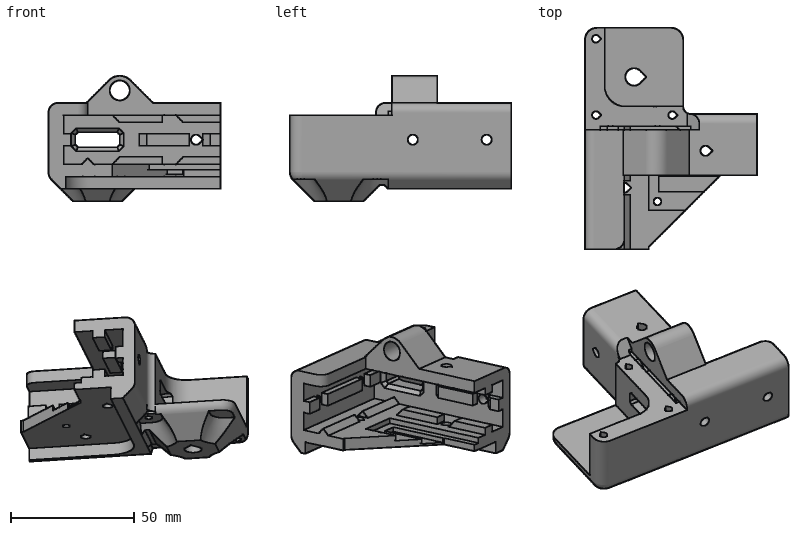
import cadquery as cq
import math

BAR = 20.0
LENGTH_X = 70.0
WALL_LEFT = 6.2
WALL_BACK = 5.0
FLOOR = 10.0
ROOF = 5.0
BAR_B_FRONT = 30.0
BAR_B_BACK = BAR_B_FRONT + BAR
BACK_FACE = BAR_B_BACK + WALL_BACK
ROOF_BOTTOM = FLOOR + BAR
ROOF_TOP = ROOF_BOTTOM + ROOF
BAR_A_CENTER_X = 16.0
FLOOR_A_RIGHT = 26.0
BAR_B_CENTER_Y = BAR_B_FRONT + BAR / 2
BAR_CENTER_Z = FLOOR + BAR / 2
ROOF_BACK = 48.5
ROOF_CORNER_R = 4.0
OUTER_TOP_R = 4.0
BEVEL = 5.0
BEVEL_R = 4.5

BEVEL_SETBACK = BEVEL_R * math.tan(math.pi / 8)
BEVEL_ROUND_Z = BEVEL - BEVEL_SETBACK * math.sqrt(0.5)

GUSSET_START_Y = 1.0
GUSSET_RUN = BAR_B_FRONT - GUSSET_START_Y

RELIEF_DEPTH = 5.0
RELIEF_LEFT = 7.0
RELIEF_BACK = 45.0
RELIEF_R = 10.0

SLOPE_START_X = 41.5
SLIT_RIGHT = 43.0
SLIT_TOP = 31.6

HUB_X = 29.0
HUB_Z = 40.0
HUB_R = 6.0
HUB_HOLE = 8.0

KEY_WIDTH = 5.0
KEY_HEIGHT = 3.0
KEY_GAP = 2.8
RIDGE_HALF = 2.5
BOLT = 4.0
BOLT_FLOOR_A_Y = 25.0
BOLT_LEFT_YS = (10.0, 40.0)
BOLT_BACK_X = 60.0
BOLT_ROOF_X = 49.0
FLOOR_KEY_START = 26.0
BACK_KEY_START = 37.0

POCKET_FRONT = 15.9
POCKET_BACK = 32.8
POCKET_FLOOR = 7.8
DEEP_POCKET_LEFT = 30.0
DEEP_POCKET_FRONT = 23.4
DEEP_POCKET_BACK = 29.6
DEEP_POCKET_FLOOR = 5.9
POCKET_HOLE = 3.0
POCKET_HOLE_X = 29.5
POCKET_HOLE_Y = 19.4

MOTOR_SIZE = 40.0
MOTOR_HALF = MOTOR_SIZE / 2
MOTOR_X = MOTOR_HALF
MOTOR_Y = 70.0
MOTOR_FRONT = MOTOR_Y - MOTOR_HALF
MOTOR_BACK = MOTOR_Y + MOTOR_HALF
MOTOR_CORNER_R = 5.0
FOOT_Z = -5.0
SCOOP_TOP_R = 5.6
SCOOP_FOOT_R = 12.0
SCOOP_TOP_Z = 4.0
SCREW_OFFSET = 15.5
SCREW = 3.0
SHAFT_HOLE = 7.0
RECESS_FLOOR = 8.0
RECESS_WALL = 8.0
RECESS_R = 8.5
DECK_FILLET = BAR_B_BACK + RECESS_WALL - BACK_FACE
BRIDGE_FRONT = 51.5
BRIDGE_BACK = 53.5
BRIDGE_BOTTOM = 1.6

WINDOW_WIDTH = 18.0
WINDOW_HEIGHT = 6.0
WINDOW_CORNER = 1.0
WINDOW_MOUTH_CORNER = 1.9
WINDOW_FLARE = 1.6
WINDOW_DEPTH = RECESS_WALL + RECESS_R


def box(x0, x1, y0, y1, z0, z1):
    return cq.Workplane("XY").box(x1 - x0, y1 - y0, z1 - z0, centered=False).translate((x0, y0, z0))


def teardrop(diameter, depth, plane):
    """Round hole with a 45 degree roof whose tip points along the local x axis."""
    r = diameter / 2
    tangent = r * math.sqrt(0.5)
    return (
        cq.Workplane(plane)
        .moveTo(tangent, tangent)
        .threePointArc((-r, 0), (tangent, -tangent))
        .lineTo(2 * tangent, 0)
        .close()
        .extrude(depth)
    )


def upright_teardrop(diameter, x, y, z0, z1):
    return teardrop(diameter, z1 - z0, "XY").translate((x, y, z0))


def half_outline(plane, width, bottom, top, top_r=0.0):
    """Upright outline whose outer face is at local x = 0.

    The outer lower edge has a 45 degree bevel ending at height BEVEL, rounded into the face.
    """
    arc_middle_x = BEVEL_R * (1 - math.cos(math.pi / 8))
    arc_middle_z = BEVEL + BEVEL_SETBACK - BEVEL_R * math.sin(math.pi / 8)
    outline = (
        cq.Workplane(plane)
        .moveTo(width, bottom)
        .lineTo(BEVEL - bottom, bottom)
        .lineTo(BEVEL - BEVEL_ROUND_Z, BEVEL_ROUND_Z)
        .threePointArc((arc_middle_x, arc_middle_z), (0, BEVEL + BEVEL_SETBACK))
    )
    if top_r:
        corner = top_r * (1 - math.sqrt(0.5))
        outline = outline.lineTo(0, top - top_r).threePointArc((corner, top - corner), (top_r, top))
    else:
        outline = outline.lineTo(0, top)
    return outline.lineTo(width, top).close()


def section_plane(origin, inward):
    """Plane with local x pointing inward from the outer face and local y pointing up."""
    direction = cq.Vector(*inward)
    return cq.Plane(origin=origin, xDir=direction, normal=direction.cross(cq.Vector(0, 0, 1)))


def clamp_shell():
    """L-shaped walls, floor, roof and gusset around the two bar channels."""
    outline = [
        (0, 0),
        (FLOOR_A_RIGHT, 0),
        (FLOOR_A_RIGHT, GUSSET_START_Y),
        (FLOOR_A_RIGHT + GUSSET_RUN, BAR_B_FRONT),
        (LENGTH_X, BAR_B_FRONT),
        (LENGTH_X, BACK_FACE),
        (0, BACK_FACE),
    ]
    shell = cq.Workplane("XY").polyline(outline).close().extrude(ROOF_TOP)
    left_plane = section_plane((0, BACK_FACE, 0), (1, 0, 0))
    shell = shell.intersect(half_outline(left_plane, LENGTH_X, 0, ROOF_TOP, OUTER_TOP_R).extrude(BACK_FACE))
    back_plane = section_plane((LENGTH_X, BACK_FACE, 0), (0, -1, 0))
    shell = shell.intersect(half_outline(back_plane, BACK_FACE, 0, ROOF_TOP, OUTER_TOP_R).extrude(LENGTH_X))

    shell = shell.cut(box(WALL_LEFT, LENGTH_X, 0, BAR_B_BACK, FLOOR, ROOF_BOTTOM))
    roof_opening = box(BAR_A_CENTER_X, LENGTH_X, 0, BAR_B_FRONT, ROOF_BOTTOM, ROOF_TOP)
    shell = shell.cut(roof_opening)
    corner_point = (BAR_A_CENTER_X, 0, ROOF_BOTTOM + ROOF / 2)
    shell = shell.edges(cq.selectors.NearestToPointSelector(corner_point)).fillet(ROOF_CORNER_R)

    opening_outline = [
        (0, ROOF_BOTTOM),
        (SLOPE_START_X, ROOF_BOTTOM),
        (SLOPE_START_X + ROOF, ROOF_TOP),
        (0, ROOF_TOP),
    ]
    deck_opening = (
        cq.Workplane("XZ", origin=(0, ROOF_BACK, 0))
        .polyline(opening_outline)
        .close()
        .extrude(ROOF_BACK - BACK_FACE)
    )
    shell = shell.cut(deck_opening)
    return shell.cut(box(WALL_LEFT, SLIT_RIGHT, ROOF_BACK, BAR_B_BACK, ROOF_BOTTOM, SLIT_TOP))


def underside_relief():
    relief = box(RELIEF_LEFT, LENGTH_X, 0, RELIEF_BACK, 0, RELIEF_DEPTH)
    return relief.edges("|Z and <X and >Y").fillet(RELIEF_R)


def pivot_hub():
    """Lug with 45 degree flanks tangent to its rounded top."""
    tangent = HUB_R * math.sqrt(0.5)
    foot_half = HUB_R * math.sqrt(2) + HUB_Z - ROOF_TOP
    width = ROOF_BACK - BAR_B_FRONT
    return (
        cq.Workplane("XZ", origin=(HUB_X, BAR_B_FRONT, 0))
        .moveTo(-foot_half, ROOF_TOP)
        .lineTo(-tangent, HUB_Z + tangent)
        .threePointArc((0, HUB_Z + HUB_R), (tangent, HUB_Z + tangent))
        .lineTo(foot_half, ROOF_TOP)
        .lineTo(foot_half, ROOF_BOTTOM)
        .lineTo(-foot_half, ROOF_BOTTOM)
        .close()
        .extrude(-width)
    )


def hub_hole():
    return cq.Workplane("XZ", origin=(HUB_X, 0, HUB_Z)).circle(HUB_HOLE / 2).extrude(-BACK_FACE)


def slot_key(start, end):
    """Key along X on a floor at z = 0, centered on y = 0, with a 45 degree left end."""
    return (
        cq.Workplane("XZ", origin=(0, KEY_WIDTH / 2, 0))
        .polyline([(start, 0), (start + KEY_HEIGHT, KEY_HEIGHT), (end, KEY_HEIGHT), (end, 0)])
        .close()
        .extrude(KEY_WIDTH)
    )


def bar_b_keys():
    """Split keys on the floor, roof and back wall, interrupted at the bolts."""
    keys = cq.Workplane("XY")
    placements = [
        (0, BAR_B_CENTER_Y, FLOOR, FLOOR_KEY_START, BOLT_ROOF_X),
        (180, BAR_B_CENTER_Y, ROOF_BOTTOM, FLOOR_KEY_START, BOLT_ROOF_X),
        (90, BAR_B_BACK, BAR_CENTER_Z, BACK_KEY_START, BOLT_BACK_X),
    ]
    for angle, y, z, start, bolt_x in placements:
        for key_start, key_end in ((start, bolt_x - KEY_GAP), (bolt_x + KEY_GAP, LENGTH_X)):
            key = slot_key(key_start, key_end).rotate((0, 0, 0), (1, 0, 0), angle)
            keys = keys.add(key.translate((0, y, z)))
    return keys.combine()


def bar_a_keys():
    """Wall key and floor ridge along Y, interrupted at the bolts."""
    key_bottom = BAR_CENTER_Z - KEY_WIDTH / 2
    key_top = key_bottom + KEY_WIDTH
    key_right = WALL_LEFT + KEY_HEIGHT
    wall_key = box(WALL_LEFT, key_right, 0, BAR_B_BACK, key_bottom, key_top)
    for y in BOLT_LEFT_YS:
        wall_key = wall_key.cut(box(WALL_LEFT, key_right, y - KEY_GAP, y + KEY_GAP, key_bottom, key_top))
    ridge = (
        cq.Workplane("XZ", origin=(BAR_A_CENTER_X, 0, FLOOR))
        .polyline([(-RIDGE_HALF, 0), (0, RIDGE_HALF), (RIDGE_HALF, 0)])
        .close()
        .extrude(-BAR_B_BACK)
    )
    gap = box(
        BAR_A_CENTER_X - RIDGE_HALF,
        BAR_A_CENTER_X + RIDGE_HALF,
        BOLT_FLOOR_A_Y - KEY_GAP,
        BOLT_FLOOR_A_Y + KEY_GAP,
        FLOOR,
        FLOOR + RIDGE_HALF,
    )
    return wall_key.union(ridge.cut(gap))


def gusset_pocket():
    shallow = box(FLOOR_A_RIGHT, LENGTH_X, POCKET_FRONT, POCKET_BACK, POCKET_FLOOR, FLOOR)
    deep = box(
        DEEP_POCKET_LEFT, LENGTH_X, DEEP_POCKET_FRONT, DEEP_POCKET_BACK, DEEP_POCKET_FLOOR, POCKET_FLOOR
    )
    hole = (
        cq.Workplane("XY")
        .center(POCKET_HOLE_X, POCKET_HOLE_Y)
        .circle(POCKET_HOLE / 2)
        .extrude(FLOOR)
    )
    return shallow.union(deep).union(hole)


def bolt_holes():
    holes = upright_teardrop(BOLT, BOLT_ROOF_X, BAR_B_CENTER_Y, 0, ROOF_TOP)
    holes = holes.union(upright_teardrop(BOLT, BAR_A_CENTER_X, BOLT_FLOOR_A_Y, 0, FLOOR))
    back = teardrop(BOLT, -2 * WALL_BACK, "XZ").translate((BOLT_BACK_X, BAR_B_BACK - WALL_BACK, BAR_CENTER_Z))
    holes = holes.union(back)
    for y in BOLT_LEFT_YS:
        left = cq.Workplane("YZ", origin=(0, y, BAR_CENTER_Z)).circle(BOLT / 2).extrude(BAR_A_CENTER_X)
        holes = holes.union(left)
    return holes


def left_section(z0, z1, y0, y1):
    """Slice of the beveled left side of the mount."""
    plane = section_plane((0, y1, 0), (1, 0, 0))
    section = half_outline(plane, MOTOR_SIZE, 0, ROOF_BOTTOM).extrude(y1 - y0)
    return section.intersect(box(0, MOTOR_SIZE, y0, y1, z0, z1))


def corner_post(x, y):
    """Rounded vertical corner with the bevel revolved around it."""
    plane = section_plane((x - MOTOR_CORNER_R, y, 0), (1, 0, 0))
    outline = half_outline(plane, MOTOR_CORNER_R, BRIDGE_BOTTOM, ROOF_BOTTOM)
    return outline.revolve(360, (MOTOR_CORNER_R, 0), (MOTOR_CORNER_R, 1))


def motor_block():
    """Square mount with rounded rear corners and a foot tapering at 45 degrees."""
    block = box(0, MOTOR_SIZE, MOTOR_FRONT, MOTOR_BACK, FOOT_Z, ROOF_BOTTOM)
    center = cq.Vector(MOTOR_X, MOTOR_Y, 0)
    for inward in ((1, 0, 0), (-1, 0, 0), (0, 1, 0), (0, -1, 0)):
        along = cq.Vector(*inward).cross(cq.Vector(0, 0, 1))
        corner = center - (cq.Vector(*inward) + along) * MOTOR_HALF
        plane = section_plane(corner, inward)
        block = block.intersect(half_outline(plane, MOTOR_SIZE, FOOT_Z, ROOF_BOTTOM).extrude(MOTOR_SIZE))

    post_y = MOTOR_BACK - MOTOR_CORNER_R
    for edge_x, post_x in ((0, MOTOR_CORNER_R), (MOTOR_SIZE, MOTOR_SIZE - MOTOR_CORNER_R)):
        left, right = sorted((edge_x, post_x))
        block = block.cut(box(left, right, post_y, MOTOR_BACK, FOOT_Z, ROOF_BOTTOM))
        block = block.union(corner_post(post_x, post_y))

    front = left_section(BEVEL_ROUND_Z, ROOF_BOTTOM, MOTOR_FRONT, MOTOR_FRONT + RECESS_WALL)
    bridge = left_section(BRIDGE_BOTTOM, BEVEL_ROUND_Z, BRIDGE_FRONT, BRIDGE_BACK)
    return block.union(front).union(bridge)


def scoop_wire(radius, z):
    """Square corner of the mount up to a rounded inner corner concentric with the screw."""
    reach = SCREW_OFFSET - MOTOR_HALF
    middle = radius * math.sqrt(0.5)
    return (
        cq.Workplane("XY", origin=(MOTOR_X - SCREW_OFFSET, MOTOR_Y - SCREW_OFFSET, z))
        .moveTo(reach, reach)
        .lineTo(radius, reach)
        .lineTo(radius, 0)
        .threePointArc((middle, middle), (0, radius))
        .lineTo(reach, radius)
        .close()
        .wires()
        .val()
    )


def screw_scoops():
    """Flared clearances that cut the four corners of the tapered foot."""
    wires = [scoop_wire(SCOOP_FOOT_R, FOOT_Z), scoop_wire(SCOOP_TOP_R, SCOOP_TOP_Z)]
    scoop = cq.Workplane(cq.Solid.makeLoft(wires, True))
    scoops = scoop
    for quarter in range(1, 4):
        axis_end = (MOTOR_X, MOTOR_Y, 1)
        scoops = scoops.union(scoop.rotate((MOTOR_X, MOTOR_Y, 0), axis_end, 90 * quarter))
    return scoops


def deck_fillet():
    """Concave corner between the mount side and the clamp back."""
    block = box(MOTOR_SIZE, MOTOR_SIZE + DECK_FILLET, BACK_FACE, BACK_FACE + DECK_FILLET, BEVEL, ROOF_BOTTOM)
    round_cut = (
        cq.Workplane("XY")
        .center(MOTOR_SIZE + DECK_FILLET, BACK_FACE + DECK_FILLET)
        .circle(DECK_FILLET)
        .extrude(ROOF_BOTTOM)
    )
    return block.cut(round_cut)


def motor_recess():
    """Open corner of the mount, leaving a wall on the left and one at the front."""
    recess = box(
        RECESS_WALL, LENGTH_X, MOTOR_FRONT + RECESS_WALL, MOTOR_BACK, RECESS_FLOOR, ROOF_BOTTOM
    )
    return recess.edges("|Z and <X and <Y").fillet(RECESS_R)


def motor_holes():
    holes = upright_teardrop(SHAFT_HOLE, MOTOR_X, MOTOR_Y, FOOT_Z, ROOF_BOTTOM)
    for side_x, side_y in ((-1, -1), (-1, 1), (1, -1)):
        x = MOTOR_X + side_x * SCREW_OFFSET
        y = MOTOR_Y + side_y * SCREW_OFFSET
        holes = holes.union(upright_teardrop(SCREW, x, y, FOOT_Z, ROOF_BOTTOM))
    return holes


def window_outline(width, height, corner, y):
    x = width / 2
    z = height / 2
    return (
        cq.Workplane("XZ", origin=(MOTOR_X, y, BAR_CENTER_Z))
        .polyline(
            [
                (x, z - corner),
                (x - corner, z),
                (corner - x, z),
                (-x, z - corner),
                (-x, corner - z),
                (corner - x, -z),
                (x - corner, -z),
                (x, corner - z),
            ]
        )
        .close()
    )


def window():
    """Opening with cut corners, flared at 45 degrees toward bar A."""
    mouth_width = WINDOW_WIDTH + 2 * WINDOW_FLARE
    mouth_height = WINDOW_HEIGHT + 2 * WINDOW_FLARE
    flare_back = MOTOR_FRONT + WINDOW_FLARE
    throat = window_outline(WINDOW_WIDTH, WINDOW_HEIGHT, WINDOW_CORNER, MOTOR_FRONT).extrude(-WINDOW_DEPTH)
    mouth = window_outline(mouth_width, mouth_height, WINDOW_MOUTH_CORNER, MOTOR_FRONT)
    neck = window_outline(WINDOW_WIDTH, WINDOW_HEIGHT, WINDOW_CORNER, flare_back)
    flare = cq.Workplane(cq.Solid.makeLoft([mouth.wires().val(), neck.wires().val()], True))
    return throat.union(flare)


result = (
    clamp_shell()
    .cut(underside_relief())
    .union(motor_block())
    .union(deck_fillet())
    .union(pivot_hub())
    .union(bar_b_keys())
    .union(bar_a_keys())
    .cut(gusset_pocket())
    .cut(bolt_holes())
    .cut(screw_scoops())
    .cut(motor_recess())
    .cut(motor_holes())
    .cut(window())
    .cut(hub_hole())
)